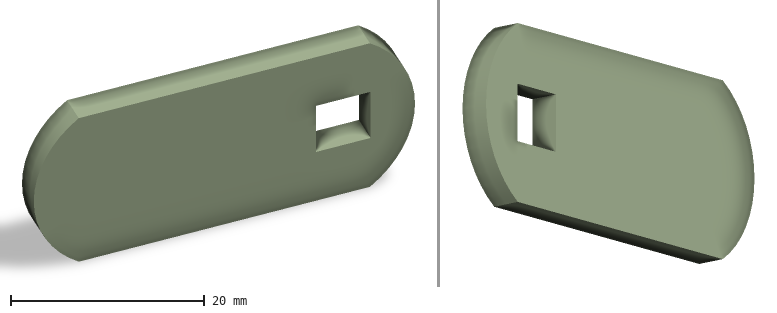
import cadquery as cq
import math

thickness = 3.2
length = 42.5
height = 19.0
end_radius = 11.5
hole_side = 6.1
hole_from_end = 8.0

half_length = length / 2
half_height = height / 2
arc_depth = end_radius - math.sqrt(end_radius**2 - half_height**2)
corner_y = half_length - arc_depth
hole_y = half_length - hole_from_end


def make_plate():
    """Flat plate with two straight edges and two rounded ends, centred on the origin."""
    return (
        cq.Workplane("YZ")
        .moveTo(-corner_y, -half_height)
        .lineTo(corner_y, -half_height)
        .threePointArc((half_length, 0), (corner_y, half_height))
        .lineTo(-corner_y, half_height)
        .threePointArc((-half_length, 0), (-corner_y, -half_height))
        .close()
        .extrude(thickness / 2, both=True)
    )


def make_square_hole():
    """Square bar that passes through the whole thickness near the +Y end."""
    return cq.Workplane("XY").box(thickness, hole_side, hole_side).translate((0, hole_y, 0))


result = make_plate().cut(make_square_hole())